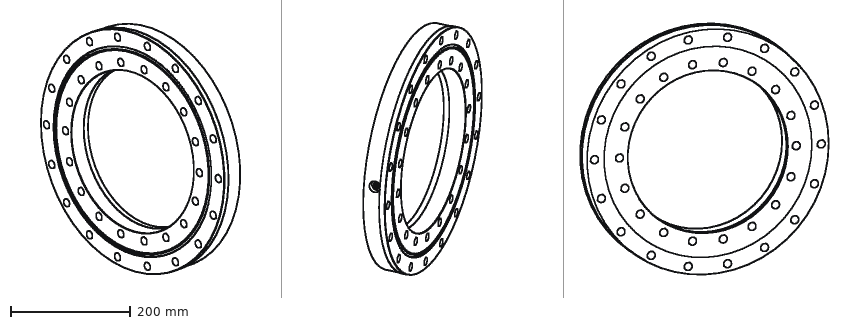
import cadquery as cq
import math

width = 40.0
front_y = -width / 2
back_y = width / 2
edge_chamfer = 1.0

rim_radius = 212.0
rim_step = 1.0
rim_width = 10.5
outer_body_radius = rim_radius - rim_step
running_radius = 181.5

bore_radius = 140.8
lip_step = 1.0
lip_width = 10.0
lip_radius = bore_radius - lip_step

seal_inner_radius = 175.0
seal_face_radius = 177.5
seal_depth = 8.5
seal_slope_depth = 3.0

hole_count = 18
hole_diameter = 13.5
outer_circle_radius = 198.0
inner_circle_radius = 154.5

nipple_angle = 10.0
pocket_diameter = 19.5
pocket_depth = 11.0
pocket_floor = outer_body_radius - pocket_depth
collar_diameter = 11.5
collar_height = 2.5
head_diameter = 6.5
head_height = 1.5
shank_diameter = 6.5
shank_clearance = 0.5
shank_end_radius = running_radius + shank_clearance
tip_chamfer = 1.0
feed_diameter = 2.0


def revolved(profile):
    """Revolve a closed outline of (radius, y) points about the Y axis."""
    points = [(-radius, y) for radius, y in profile]
    return cq.Workplane("XY").polyline(points).close().revolve(360, (0, 0, 0), (0, 1, 0))


def bolt_holes(circle_radius):
    """Cylinders through the full width, evenly spaced on a bolt circle from +X on."""
    return (
        cq.Workplane("XZ", origin=(0, back_y, 0))
        .polarArray(circle_radius, 0, 360, hole_count)
        .circle(hole_diameter / 2)
        .extrude(width)
    )


def radial_cylinder(diameter, inner_radius, outer_radius):
    """Cylinder along the nipple axis between two distances from the ring axis."""
    angle = math.radians(nipple_angle)
    outward = cq.Vector(-math.cos(angle), 0, math.sin(angle))
    plane = cq.Plane(origin=(outward * inner_radius).toTuple(), xDir=(0, 1, 0), normal=outward.toTuple())
    return cq.Workplane(plane).circle(diameter / 2).extrude(outer_radius - inner_radius)


def make_outer_ring():
    profile = [
        (running_radius + edge_chamfer, front_y),
        (rim_radius - edge_chamfer, front_y),
        (rim_radius, front_y + edge_chamfer),
        (rim_radius, front_y + rim_width),
        (outer_body_radius, front_y + rim_width),
        (outer_body_radius, back_y),
        (running_radius, back_y),
        (running_radius, front_y + edge_chamfer),
    ]
    ring = revolved(profile).cut(bolt_holes(outer_circle_radius))
    pocket = radial_cylinder(pocket_diameter, pocket_floor, rim_radius)
    shank_hole = radial_cylinder(shank_diameter, lip_radius, pocket_floor)
    return ring.cut(pocket).cut(shank_hole)


def make_inner_ring():
    profile = [
        (bore_radius + edge_chamfer, front_y),
        (seal_inner_radius, front_y),
        (seal_inner_radius, front_y + seal_depth),
        (running_radius, front_y + seal_depth),
        (running_radius, back_y),
        (lip_radius, back_y),
        (lip_radius, back_y - lip_width),
        (bore_radius, back_y - lip_width),
        (bore_radius, front_y + edge_chamfer),
    ]
    return revolved(profile).cut(bolt_holes(inner_circle_radius))


def make_seal():
    profile = [
        (seal_inner_radius, front_y),
        (seal_face_radius, front_y),
        (running_radius, front_y + seal_slope_depth),
        (running_radius, front_y + seal_depth),
        (seal_inner_radius, front_y + seal_depth),
    ]
    return revolved(profile)


def make_grease_nipple():
    head_base = pocket_floor + collar_height
    head_top = head_base + head_height
    shank = radial_cylinder(shank_diameter, shank_end_radius, pocket_floor)
    collar = radial_cylinder(collar_diameter, pocket_floor, head_base)
    head = radial_cylinder(head_diameter, head_base, head_top).faces("<X").chamfer(tip_chamfer)
    feed = radial_cylinder(feed_diameter, shank_end_radius, head_top)
    return shank.union(collar).union(head).cut(feed)


outer_ring = make_outer_ring()
inner_ring = make_inner_ring()
seal = make_seal()
grease_nipple = make_grease_nipple()

result = cq.Compound.makeCompound([
    outer_ring.val(),
    inner_ring.val(),
    seal.val(),
    grease_nipple.val(),
])